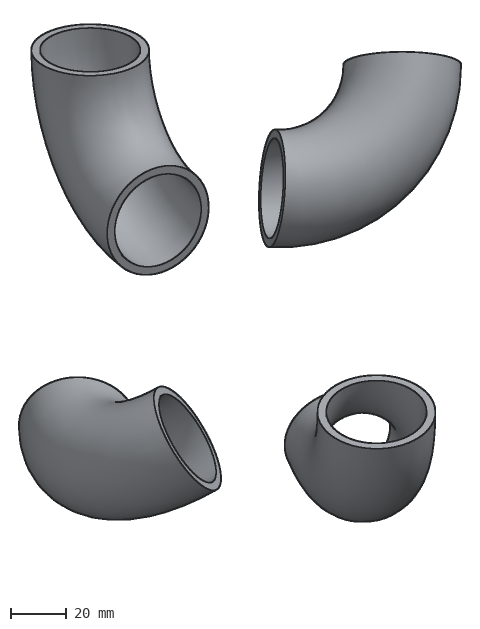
import cadquery as cq

overall_size = 69.2
outer_diameter = 42.4
wall_thickness = 3.2
bend_angle = 90.0

inner_diameter = outer_diameter - 2 * wall_thickness
bend_radius = overall_size - outer_diameter / 2

pipe_section = (
    cq.Workplane("XY")
    .moveTo(-bend_radius, 0)
    .circle(outer_diameter / 2)
    .moveTo(-bend_radius, 0)
    .circle(inner_diameter / 2)
)

result = pipe_section.revolve(bend_angle, (0, 0, 0), (0, -1, 0))